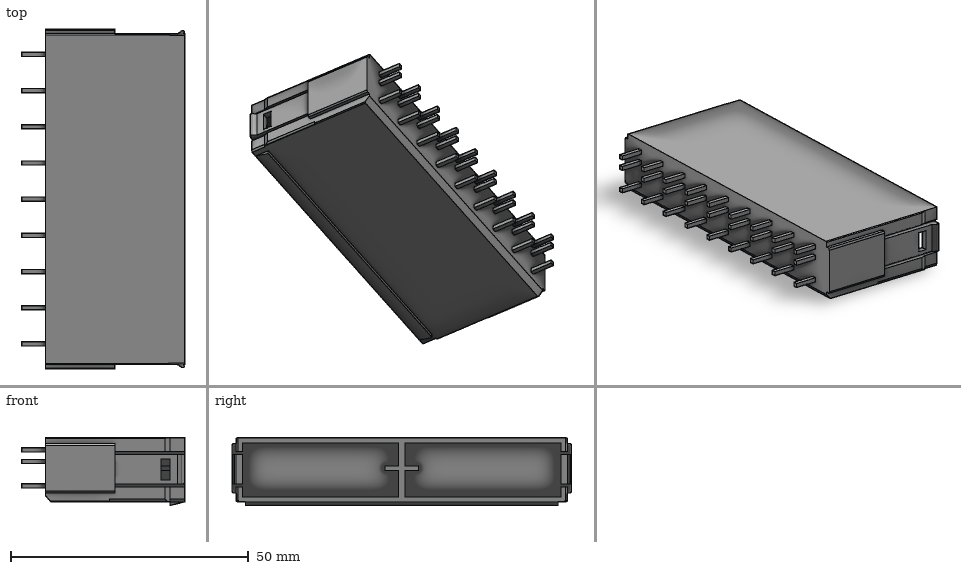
import cadquery as cq

TOTAL_LENGTH = 34.25
TOTAL_WIDTH = 71.4
TOTAL_HEIGHT = 14.3

PIN_LENGTH = 5.0
HALF_WIDTH = 34.75
BOTTOM_Z = 0.8
EDGE_BREAK_Y = 0.3
EDGE_BREAK_Z = 0.15
REAR_CHAMFER_X = 1.15
REAR_CHAMFER_Z = 1.3

LOWER_CHAMFER_Y = 0.2
LOWER_CHAMFER_Z = 0.6
LOWER_CHAMFER_START = 18.5

STEP_DEPTH = 0.35
STEP_START = 30.1
STEP_END = 31.1

PAD_END = 19.55
PAD_BOTTOM = 2.65
PAD_TOP = 13.05
PAD_BEVEL_Y = 0.2
PAD_BEVEL_Z = 0.4

END_WALL = 1.35
SLOT_WIDTH = 0.65
LATCH_BOTTOM = 4.6
LATCH_TOP = 10.8
WINDOW_START = 29.3
WINDOW_END = 31.1
WINDOW_BOTTOM = 5.4
WINDOW_TOP = 9.8

FLARE_START = 32.7
FLARE_MID = (33.1, 35.0)
FLARE_CREST = (33.55, 35.3)
FLARE_NOSE = (33.8, 35.4)
FLARE_TIP = (34.2, 35.1)
FLARE_ROOT_END = 33.8

CAVITY_START = PAD_END
CAVITY_BOTTOM = 1.85
CAVITY_TOP = 13.2
PARTITION_THICKNESS = 1.4
RIB_LENGTH = 2.85
RIB_BOTTOM = 7.4
RIB_TOP = 8.3

CATCH_START = 31.1
CATCH_HALF_WIDTH = 32.8

PIN_SIZE = 0.9
PIN_COLUMNS = 9
PIN_SPAN = 60.8
PIN_PITCH = PIN_SPAN / (PIN_COLUMNS - 1)
PIN_ROWS_Z = (4.15, 9.3, 11.7)

ENDS = (-1, 1)


def block(x_range, y_range, z_range):
    """Axis-aligned box between pairs of limits, given in any order."""
    (x0, x1), (y0, y1), (z0, z1) = (sorted(r) for r in (x_range, y_range, z_range))
    return cq.Workplane("XY").box(x1 - x0, y1 - y0, z1 - z0, centered=False).translate((x0, y0, z0))


def along_y(points, half_width):
    """Prism with an XZ outline, centred on Y = 0."""
    return cq.Workplane("XZ").polyline(points).close().extrude(half_width, both=True)


def along_x(points, start, end):
    """Prism with a YZ outline between two X positions."""
    return cq.Workplane("YZ").workplane(offset=start).polyline(points).close().extrude(end - start)


def make_shell():
    """Box with narrow bevels on its long edges and a chamfer below the pins."""
    half_face = HALF_WIDTH - EDGE_BREAK_Y
    plus_side = [
        (half_face, BOTTOM_Z),
        (HALF_WIDTH, BOTTOM_Z + EDGE_BREAK_Z),
        (HALF_WIDTH, TOTAL_HEIGHT - EDGE_BREAK_Z),
        (half_face, TOTAL_HEIGHT),
    ]
    minus_side = [(-y, z) for y, z in reversed(plus_side)]
    shell = along_x(plus_side + minus_side, PIN_LENGTH, TOTAL_LENGTH)
    rear_wedge = [
        (PIN_LENGTH, BOTTOM_Z),
        (PIN_LENGTH + REAR_CHAMFER_X, BOTTOM_Z),
        (PIN_LENGTH, BOTTOM_Z + REAR_CHAMFER_Z),
    ]
    return shell.cut(along_y(rear_wedge, HALF_WIDTH))


def make_lower_chamfer(end, wall_y, start):
    """Cutter that bevels the lower edge of an end wall standing at wall_y."""
    corner = [
        (end * wall_y, BOTTOM_Z),
        (end * (wall_y - LOWER_CHAMFER_Y), BOTTOM_Z),
        (end * wall_y, BOTTOM_Z + LOWER_CHAMFER_Z),
    ]
    return along_x(corner, start, TOTAL_LENGTH)


def make_step_cut(end):
    """Ramped relief beside the mating face, above and below the latch."""
    outline = [
        (STEP_START, end * HALF_WIDTH),
        (STEP_END, end * (HALF_WIDTH - STEP_DEPTH)),
        (TOTAL_LENGTH, end * (HALF_WIDTH - STEP_DEPTH)),
        (TOTAL_LENGTH, end * HALF_WIDTH),
    ]
    relief = cq.Workplane("XY").polyline(outline).close().extrude(TOTAL_HEIGHT)
    latch_zone = block(
        (STEP_START, TOTAL_LENGTH), (0, end * TOTAL_WIDTH), (LATCH_BOTTOM, LATCH_TOP)
    )
    return relief.cut(latch_zone)


def make_pad(end):
    outer = end * TOTAL_WIDTH / 2
    outline = [
        (end * (HALF_WIDTH - EDGE_BREAK_Y), PAD_BOTTOM),
        (outer - end * PAD_BEVEL_Y, PAD_BOTTOM),
        (outer, PAD_BOTTOM + PAD_BEVEL_Z),
        (outer, PAD_TOP - PAD_BEVEL_Z),
        (outer - end * PAD_BEVEL_Y, PAD_TOP),
        (end * (HALF_WIDTH - EDGE_BREAK_Y), PAD_TOP),
    ]
    return along_x(outline, PIN_LENGTH, PAD_END)


def make_cavity():
    half_cavity = HALF_WIDTH - END_WALL
    half_partition = PARTITION_THICKNESS / 2
    half_rib = half_partition + RIB_LENGTH
    x_range = (CAVITY_START, TOTAL_LENGTH)
    cavity = block(x_range, (-half_cavity, half_cavity), (CAVITY_BOTTOM, CAVITY_TOP))
    partition = block(x_range, (-half_partition, half_partition), (CAVITY_BOTTOM, CAVITY_TOP))
    rib = block(x_range, (-half_rib, half_rib), (RIB_BOTTOM, RIB_TOP))
    return cavity.cut(partition).cut(rib)


def make_latch_openings(end):
    """The two slots that free the latch and the window through it."""
    y_range = (end * (HALF_WIDTH - END_WALL), end * HALF_WIDTH)
    window = block((WINDOW_START, WINDOW_END), y_range, (WINDOW_BOTTOM, WINDOW_TOP))
    slot_x = (PAD_END, TOTAL_LENGTH)
    lower_slot = block(slot_x, y_range, (LATCH_BOTTOM - SLOT_WIDTH, LATCH_BOTTOM))
    upper_slot = block(slot_x, y_range, (LATCH_TOP, LATCH_TOP + SLOT_WIDTH))
    return window.union(lower_slot).union(upper_slot)


def make_latch_flare(end):
    inner_y = HALF_WIDTH - STEP_DEPTH
    flare = (
        cq.Workplane("XY")
        .workplane(offset=LATCH_BOTTOM)
        .moveTo(FLARE_START, inner_y)
        .lineTo(FLARE_START, HALF_WIDTH)
        .threePointArc(FLARE_MID, FLARE_CREST)
        .threePointArc(FLARE_NOSE, FLARE_TIP)
        .lineTo(FLARE_ROOT_END, inner_y)
        .close()
        .extrude(LATCH_TOP - LATCH_BOTTOM)
    )
    return flare if end > 0 else flare.mirror("XZ")


def make_catch():
    ramp = [
        (CATCH_START, BOTTOM_Z + EDGE_BREAK_Z),
        (CATCH_START, 0),
        (TOTAL_LENGTH, BOTTOM_Z),
        (TOTAL_LENGTH, BOTTOM_Z + EDGE_BREAK_Z),
    ]
    return along_y(ramp, CATCH_HALF_WIDTH)


def make_pins():
    first_y = -PIN_SPAN / 2
    centres = [(first_y + PIN_PITCH * column, z) for column in range(PIN_COLUMNS) for z in PIN_ROWS_Z]
    return cq.Workplane("YZ").pushPoints(centres).rect(PIN_SIZE, PIN_SIZE).extrude(PIN_LENGTH)


result = make_shell().cut(make_cavity())
for end in ENDS:
    result = result.cut(make_step_cut(end)).cut(make_latch_openings(end))
    result = result.cut(make_lower_chamfer(end, HALF_WIDTH, LOWER_CHAMFER_START))
    result = result.cut(make_lower_chamfer(end, HALF_WIDTH - STEP_DEPTH, STEP_END))
    result = result.union(make_pad(end)).union(make_latch_flare(end))
result = result.union(make_catch()).union(make_pins())